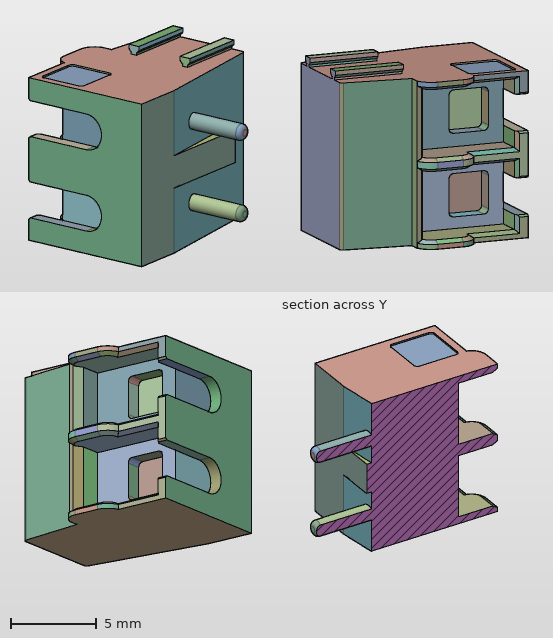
import cadquery as cq
import math

HEIGHT = 10.0
WIDTH = 8.25
LENGTH = 11.4
POLE_PITCH = 5.0
POLE_HEIGHTS = [POLE_PITCH / 2, HEIGHT - POLE_PITCH / 2]

SHOULDER_Y = 7.09
SHOULDER_X = 0.74
REAR_LEFT_X = 1.255
REAR_RIGHT_X = 7.22
RIGHT_TAPER_START_Y = 3.15
REAR_CORNER_RADIUS = 0.2

TONGUE_REACH = 0.75
TONGUE_RADIUS = 1.0
TONGUE_FRONT_ARC_Y = 4.45
END_PLATE = 0.5
MIDDLE_PLATE = 0.8
BEVEL_RISE = 0.2
BEVEL_RUN = 0.33
PLATE_RIGHT_X = 4.0

CHAMBER_DEPTH = 1.92
FRONT_WALL = 0.76
CHAMBER_REAR_Y = 6.48
REAR_BEVEL_RUN = 0.57
REAR_BEVEL_RISE = 0.32

SLOT_RADIUS = 1.1
SLOT_END_X = 5.32
SLOT_MOUTH_BEVEL = 0.12

POCKET_LENGTH = 2.5
POCKET_HEIGHT = 2.6
POCKET_CENTER_Y = 2.97
POCKET_DEPTH = 1.0
POCKET_RADIUS = 0.3

PIN_DIAMETER = 1.0
PIN_LENGTH = 3.5
PIN_Y = 5.38
PIN_TIP_RADIUS = 0.3

STANDOFF_REAR_Y = 9.36
STANDOFF_THICKNESS = 2.0
STANDOFF_RADIUS = 0.3
STANDOFF_INNER_X = 4.0

RIB_CENTERS_X = [2.37, 6.1]
RIB_HEIGHT = 0.57
RIB_WIDTH = 0.72
RIB_NECK_WIDTH = 0.38
RIB_NECK_HEIGHT = 0.13
RIB_FLANK_HEIGHT = 0.31

LABEL_SIZE = 3.0
LABEL_CENTER = (2.0, 2.02)
LABEL_RADIUS = 0.25
LABEL_DEPTH = 0.1


def make_body():
    outline = [
        (0, 0),
        (WIDTH, 0),
        (WIDTH, RIGHT_TAPER_START_Y),
        (REAR_RIGHT_X, LENGTH),
        (REAR_LEFT_X, LENGTH),
        (SHOULDER_X, SHOULDER_Y),
        (0, SHOULDER_Y),
    ]
    body = cq.Workplane("XY").polyline(outline).close().extrude(HEIGHT)
    return body.faces(">Y").edges("|Z").fillet(REAR_CORNER_RADIUS)


def make_chamber():
    """Both wire chambers as one cut; the partition plates divide it afterwards."""
    outline = [
        (0, FRONT_WALL - BEVEL_RISE),
        (BEVEL_RUN, FRONT_WALL),
        (CHAMBER_DEPTH, FRONT_WALL),
        (CHAMBER_DEPTH, CHAMBER_REAR_Y),
        (REAR_BEVEL_RUN, CHAMBER_REAR_Y),
        (0, CHAMBER_REAR_Y + REAR_BEVEL_RISE),
    ]
    lip = END_PLATE - BEVEL_RISE
    return (
        cq.Workplane("XY", origin=(0, 0, lip))
        .polyline(outline)
        .close()
        .extrude(HEIGHT - 2 * lip)
    )


def make_slab(x_start, y_start, corner_radius, z, height, taper=0.0):
    """Slab reaching from its left edge into the housing, optionally tapering inwards."""
    outline = (
        cq.Sketch()
        .push([((x_start + PLATE_RIGHT_X) / 2, (y_start + SHOULDER_Y) / 2)])
        .rect(PLATE_RIGHT_X - x_start, SHOULDER_Y - y_start)
    )
    if corner_radius > 0:
        outline = outline.reset().vertices("<X").fillet(corner_radius)
    return cq.Workplane("XY", origin=(0, 0, z)).placeSketch(outline).extrude(height, taper=taper)


def make_layer(z, height, taper=0.0):
    """Plate layer: the straight part buried in the housing plus the rounded tongue."""
    straight = make_slab(0, 0, 0, z, height, taper)
    tongue = make_slab(-TONGUE_REACH, TONGUE_FRONT_ARC_Y - TONGUE_RADIUS, TONGUE_RADIUS, z, height, taper)
    return straight.union(tongue)


def make_plate(bottom, top, bevel_bottom, bevel_top):
    """Plate between two heights with its rim bevelled on the chosen faces."""
    taper = math.degrees(math.atan2(BEVEL_RUN, BEVEL_RISE))
    core_bottom = bottom + BEVEL_RISE if bevel_bottom else bottom
    core_top = top - BEVEL_RISE if bevel_top else top
    plate = make_layer(core_bottom, core_top - core_bottom)
    if bevel_top:
        plate = plate.union(make_layer(core_top, BEVEL_RISE, taper))
    if bevel_bottom:
        plate = plate.union(make_layer(core_bottom, -BEVEL_RISE, taper))
    return plate


def make_slot(z):
    """Front wall slot with its mouth widened at the left face."""
    straight_end = SLOT_END_X - SLOT_RADIUS
    mouth = SLOT_RADIUS + SLOT_MOUTH_BEVEL
    return (
        cq.Workplane("XZ", origin=(0, 0, z))
        .moveTo(0, -mouth)
        .lineTo(SLOT_MOUTH_BEVEL, -SLOT_RADIUS)
        .lineTo(straight_end, -SLOT_RADIUS)
        .threePointArc((SLOT_END_X, 0), (straight_end, SLOT_RADIUS))
        .lineTo(SLOT_MOUTH_BEVEL, SLOT_RADIUS)
        .lineTo(0, mouth)
        .close()
        .extrude(-FRONT_WALL)
    )


def make_floor_pocket(z):
    return (
        cq.Workplane("YZ", origin=(CHAMBER_DEPTH, POCKET_CENTER_Y, z))
        .rect(POCKET_LENGTH, POCKET_HEIGHT)
        .extrude(POCKET_DEPTH)
        .edges("|X")
        .fillet(POCKET_RADIUS)
    )


def make_pin(z):
    """Pin that starts inside the housing, ahead of the tapered side."""
    start_x = REAR_RIGHT_X
    return (
        cq.Workplane("YZ", origin=(start_x, PIN_Y, z))
        .circle(PIN_DIAMETER / 2)
        .extrude(WIDTH + PIN_LENGTH - start_x)
        .faces(">X")
        .edges()
        .fillet(PIN_TIP_RADIUS)
    )


def make_standoff():
    """Rib that squares up the tapered side; its inner part is buried."""
    bottom = (HEIGHT - STANDOFF_THICKNESS) / 2
    return (
        cq.Workplane("XY", origin=(STANDOFF_INNER_X, RIGHT_TAPER_START_Y, bottom))
        .rect(WIDTH - STANDOFF_INNER_X, STANDOFF_REAR_Y - RIGHT_TAPER_START_Y, centered=False)
        .extrude(STANDOFF_THICKNESS)
        .edges("|Z and >X and >Y")
        .fillet(STANDOFF_RADIUS)
    )


def make_rib(x):
    half = RIB_WIDTH / 2
    half_neck = RIB_NECK_WIDTH / 2
    profile = [
        (-half_neck, 0),
        (half_neck, 0),
        (half_neck, RIB_NECK_HEIGHT),
        (half, RIB_FLANK_HEIGHT),
        (half, RIB_HEIGHT),
        (-half, RIB_HEIGHT),
        (-half, RIB_FLANK_HEIGHT),
        (-half_neck, RIB_NECK_HEIGHT),
    ]
    return (
        cq.Workplane("XZ", origin=(x, SHOULDER_Y, HEIGHT))
        .polyline(profile)
        .close()
        .extrude(SHOULDER_Y - LENGTH)
    )


def make_label_recess():
    return (
        cq.Workplane("XY", origin=(*LABEL_CENTER, HEIGHT - LABEL_DEPTH))
        .rect(LABEL_SIZE, LABEL_SIZE)
        .extrude(LABEL_DEPTH)
        .edges("|Z")
        .fillet(LABEL_RADIUS)
    )


middle_bottom = (HEIGHT - MIDDLE_PLATE) / 2
plates = [
    make_plate(0, END_PLATE, False, True),
    make_plate(middle_bottom, middle_bottom + MIDDLE_PLATE, True, True),
    make_plate(HEIGHT - END_PLATE, HEIGHT, True, False),
]

part = make_body().cut(make_chamber())
for plate in plates:
    part = part.union(plate)
for pole_z in POLE_HEIGHTS:
    part = part.cut(make_slot(pole_z)).cut(make_floor_pocket(pole_z))
    part = part.union(make_pin(pole_z))
part = part.union(make_standoff())
for rib_x in RIB_CENTERS_X:
    part = part.union(make_rib(rib_x))
result = part.cut(make_label_recess())